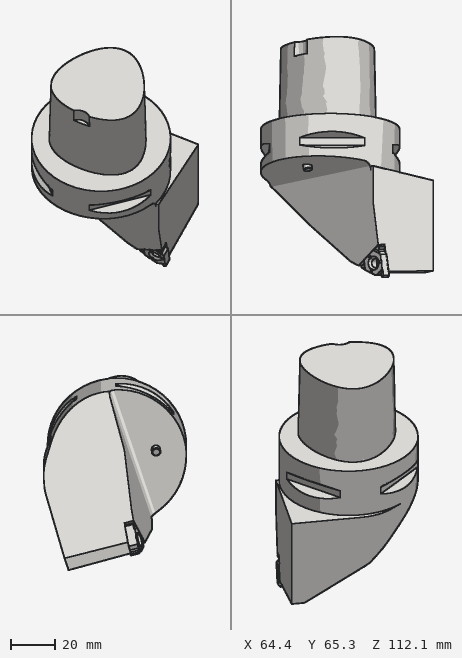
import cadquery as cq
import math


shank_height = 38.0
shank_mean_radius_base = 22.0
shank_mean_radius_top = 21.2
lobe_offset = 1.6
outline_points = 36
notch_radius = 5.7
notch_center_y = -23.5
notch_depth = 6.6

flange_diameter = 63.0
flange_radius = flange_diameter / 2
groove_floor_distance = 27.9
groove_z = -12.2
groove_floor_width = 3.5
groove_mouth_width = 7.7
groove_angles = (45, 135, 225, 315)

head_right = 32.4
body_depth = 65.3
head_back = body_depth - flange_radius
head_front = -6.2
head_corner_radius = 23.0
head_top_z = -23.2
head_depth_z = -89.6
underside_edge_z = -19.3
underside_slope = 4.3
underside_fillet = 4.0
slant_top_z = -22.3
slant_angle = 42.3

rake_angle = 10.0
rake_twist = 5.6
rake_line_z = -43.0
insert_x = 28.2
insert_z = -67.1
head_bevel_distance = 4.4
head_bottom_distance = 4.4

corner_count = 3
corner_step = 360 / corner_count
insert_width = 9.5
insert_edge_distance = insert_width / 2
insert_thickness = 4.4
insert_hole_diameter = 4.0
insert_sink_diameter = 6.3
tip_recess = 0.5
recess_start = 5.4
recess_floor_start = 6.2
mark_width = 0.9
mark_depth = 0.2

nozzle_diameter = 4.0
nozzle_tip_x = 3.0
nozzle_tip_y = -17.8
nozzle_tip_z = -22.4
nozzle_length = 5.6
nozzle_tilt = 15.0
nozzle_chamfer = 0.3

cutter_size = 134.4


def make_rake_plane():
    """Plane of the insert face: z out of the face, origin at the insert center."""
    slope = math.tan(math.radians(rake_angle))
    slope_x = slope * math.sin(math.radians(rake_twist))
    slope_z = slope * math.cos(math.radians(rake_twist))
    insert_y = head_front + slope_x * insert_x + slope_z * (rake_line_z - insert_z)
    return cq.Plane(
        origin=(insert_x, insert_y, insert_z),
        xDir=(1, slope_x, 0),
        normal=(slope_x, -1, -slope_z),
    )


rake_plane = make_rake_plane()


def polygon_outline(mean_radius):
    """Three-lobed shank outline with one lobe toward +Y."""
    points = []
    for i in range(outline_points):
        angle = 2 * math.pi * i / outline_points
        x = mean_radius * math.cos(angle) - lobe_offset * math.sin(2 * angle)
        y = mean_radius * math.sin(angle) - lobe_offset * math.cos(2 * angle)
        points.append((x, y))
    return points


def make_shank():
    shank = (
        cq.Workplane("XY")
        .spline(polygon_outline(shank_mean_radius_base), periodic=True).close()
        .workplane(offset=shank_height)
        .spline(polygon_outline(shank_mean_radius_top), periodic=True).close()
        .loft(ruled=True)
    )
    notch = (
        cq.Workplane("XY", origin=(0, notch_center_y, shank_height - notch_depth))
        .circle(notch_radius).extrude(notch_depth)
    )
    return shank.cut(notch)


def make_block():
    """Square-cornered block whose rounded back-left side runs tangent into the flange."""
    corner_y = head_back - head_corner_radius
    tangent = math.acos((flange_radius - head_corner_radius) / corner_y)

    def on_arc(center_y, radius, angle):
        return (-radius * math.sin(angle), center_y + radius * math.cos(angle))

    return (
        cq.Workplane("XY", origin=(0, 0, head_top_z))
        .moveTo(head_right, head_front)
        .lineTo(head_right, head_back)
        .lineTo(0, head_back)
        .threePointArc(
            on_arc(corner_y, head_corner_radius, tangent / 2),
            on_arc(corner_y, head_corner_radius, tangent),
        )
        .lineTo(*on_arc(0, flange_radius, tangent))
        .lineTo(0, head_front)
        .close()
        .extrude(head_depth_z - head_top_z)
    )


def cut_underside(head):
    """Clear the front below the sloped flange underside, filleted into the head."""
    slope = math.tan(math.radians(underside_slope))
    corner_z = underside_edge_z - slope * (head_front + flange_radius)
    outer_y = -cutter_size / 2
    outer_z = underside_edge_z - slope * (outer_y + flange_radius)
    clearance = (
        cq.Workplane("YZ", origin=(-cutter_size / 2, 0, 0))
        .polyline([
            (head_front, corner_z),
            (outer_y, outer_z),
            (outer_y, -cutter_size),
            (head_front, -cutter_size),
        ]).close().extrude(cutter_size)
        .edges(cq.selectors.NearestToPointSelector((0, head_front, corner_z)))
        .fillet(underside_fillet)
    )
    return head.cut(clearance)


def cut_slant(head):
    """Remove everything below the inclined left side of the head."""
    drop = cutter_size * math.tan(math.radians(slant_angle))
    clearance = (
        cq.Workplane("XZ", origin=(0, cutter_size / 2, 0))
        .polyline([
            (-flange_radius, slant_top_z),
            (-flange_radius + cutter_size, slant_top_z - drop),
            (-cutter_size, slant_top_z - drop),
            (-cutter_size, slant_top_z),
        ]).close().extrude(cutter_size)
    )
    return head.cut(clearance)


def beyond(direction, distance, front, back):
    """Block past a line in the rake plane, from height front down to height back."""
    return (
        cq.Workplane(rake_plane).workplane(offset=back)
        .transformed(rotate=(0, 0, direction))
        .center(distance + cutter_size / 2, 0)
        .rect(cutter_size, cutter_size).extrude(front - back)
    )


def cut_rake_faces(head):
    """Rake face, lower bevel and bottom, then the pocket that seats the insert."""
    rake_clearance = (
        cq.Workplane(rake_plane).rect(cutter_size, cutter_size).extrude(cutter_size)
        .intersect(
            cq.Workplane("XY", origin=(0, 0, head_top_z - underside_fillet))
            .rect(cutter_size, cutter_size).extrude(-cutter_size)
        )
    )
    head = head.cut(rake_clearance)
    head = head.cut(beyond(-corner_step, head_bevel_distance, cutter_size, -cutter_size))
    head = head.cut(beyond(-90, head_bottom_distance, cutter_size, -cutter_size))
    pocket = beyond(corner_step + 180, -insert_edge_distance, cutter_size, -insert_thickness)
    return head.cut(pocket)


def make_groove(angle):
    """Straight groove with sloped walls, open to the rim of the flange."""
    half_floor = groove_floor_width / 2
    half_mouth = groove_mouth_width / 2
    return (
        cq.Workplane("XZ", origin=(0, flange_radius, groove_z))
        .polyline([
            (groove_floor_distance, -half_floor),
            (flange_radius, -half_mouth),
            (flange_radius, half_mouth),
            (groove_floor_distance, half_floor),
        ]).close().extrude(2 * flange_radius)
        .rotate((0, 0, 0), (0, 0, 1), angle)
    )


def make_nozzle():
    """Cylinder leaning toward +X as it goes down, its root buried in the flange."""
    tilt = math.radians(nozzle_tilt)
    tip_plane = cq.Plane(
        origin=(nozzle_tip_x, nozzle_tip_y, nozzle_tip_z),
        xDir=(0, 1, 0),
        normal=(-math.sin(tilt), 0, math.cos(tilt)),
    )
    nozzle = cq.Workplane(tip_plane).circle(nozzle_diameter / 2).extrude(nozzle_length)
    tip_face = cq.selectors.NearestToPointSelector(tip_plane.origin.toTuple())
    return nozzle.faces(tip_face).chamfer(nozzle_chamfer)


def make_holder():
    head = cq.Workplane("XY").circle(flange_radius).extrude(head_depth_z).union(make_block())
    head = cut_underside(head)
    head = cut_slant(head)
    head = cut_rake_faces(head)
    for angle in groove_angles:
        head = head.cut(make_groove(angle))
    return head.union(make_shank()).union(make_nozzle())


def insert_outline():
    """One pointed corner, repeated around the insert center."""
    corner = [
        (0.5, -5.7),
        (2.4, -5.6),
        (3.2, -6.0),
        (3.8, -7.2),
        (insert_edge_distance, -6.3),
    ]
    points = []
    for i in range(corner_count):
        turn = math.radians(i * corner_step)
        for x, y in corner:
            points.append((
                x * math.cos(turn) - y * math.sin(turn),
                x * math.sin(turn) + y * math.cos(turn),
            ))
    return points


def make_tip_recess(direction):
    """Ramp down to the lowered top of one insert corner."""
    ramp = (
        cq.Workplane("XZ", origin=(0, insert_edge_distance, 0))
        .polyline([
            (recess_start, 0),
            (recess_floor_start, -tip_recess),
            (2 * recess_floor_start, -tip_recess),
            (2 * recess_floor_start, 0),
        ]).close().extrude(2 * insert_edge_distance)
    )
    return ramp.rotate((0, 0, 0), (0, 0, 1), direction)


def make_edge_mark(direction):
    """Shallow radial groove from the hole to the middle of one side."""
    return (
        cq.Workplane("XY", origin=(0, 0, -mark_depth))
        .center(insert_edge_distance / 2, 0)
        .rect(insert_edge_distance, mark_width).extrude(mark_depth)
        .rotate((0, 0, 0), (0, 0, 1), direction)
    )


def make_insert():
    """Insert built flat with its face at z = 0, then set into the rake plane."""
    sink_depth = (insert_sink_diameter - insert_hole_diameter) / 2
    insert = (
        cq.Workplane("XY").polyline(insert_outline()).close().extrude(-insert_thickness)
        .faces(">Z").workplane(origin=(0, 0, 0))
        .hole(insert_hole_diameter)
    )
    sink = cq.Workplane("XY").add(cq.Solid.makeCone(
        insert_hole_diameter / 2, insert_sink_diameter / 2, sink_depth,
        pnt=cq.Vector(0, 0, -sink_depth),
    ))
    insert = insert.cut(sink)
    for i in range(corner_count):
        side = i * corner_step
        insert = insert.cut(make_tip_recess(side - corner_step / 2))
        insert = insert.cut(make_edge_mark(side))
    return insert.val().moved(cq.Location(rake_plane))


holder = make_holder()
insert = make_insert()

result = cq.Compound.makeCompound([*holder.vals(), insert])